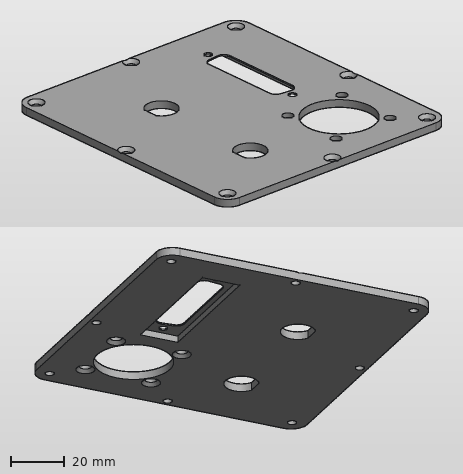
import cadquery as cq
import math

LENGTH = 118.1
WIDTH = 111.1
THICKNESS = 3.2
CORNER_RADIUS = 6.6

SCREW_HOLE = 3.4
SCREW_HEAD = 6.4
HEAD_ANGLE = 90.0
CORNER_INSET = 5.8
EDGE_INSET = 3.0
BACK_SCREW_X = 6.3

LEFT_COLUMN = -18.4
RIGHT_COLUMN = 31.1
UPPER_ROW = 25.7
LOWER_ROW = -18.5

LASER_TOP_LENGTH = 41.6
LASER_HEIGHT = 10.9
LASER_SLANT = 6.0
LASER_CORNER_RADIUS = 3.1
LASER_SCREW_HOLE = 3.3
LASER_SCREW_SPACING = 47.0
LASER_WALL = 0.6
RECESS_LENGTH = 54.3
RECESS_HEIGHT = 15.4

POWER_HOLE = 29.9
POWER_SCREW_HOLE = 4.5
POWER_SCREW_SPACING = 26.9
POWER_SCREW_HEAD = 7.1

SOCKET_HOLE = 13.1
SOCKET_FLAT_OFFSET = 5.7


def plate():
    blank = cq.Workplane("XY").box(LENGTH, WIDTH, THICKNESS, centered=(True, True, False))
    return blank.edges("|Z").fillet(CORNER_RADIUS)


def countersink_fixing_screws(body):
    corner_x = LENGTH / 2 - CORNER_INSET
    corner_y = WIDTH / 2 - CORNER_INSET
    edge_x = LENGTH / 2 - EDGE_INSET
    edge_y = WIDTH / 2 - EDGE_INSET
    places = [(sx * corner_x, sy * corner_y) for sx in (-1, 1) for sy in (-1, 1)]
    places += [(-edge_x, 0), (edge_x, 0), (0, -edge_y), (BACK_SCREW_X, edge_y)]
    top = body.faces(">Z").workplane(origin=(0, 0, THICKNESS))
    return top.pushPoints(places).cskHole(SCREW_HOLE, SCREW_HEAD, HEAD_ANGLE)


def sketch_at(center):
    return cq.Workplane("XY").center(*center)


def laser_cutter():
    center = (LEFT_COLUMN, UPPER_ROW)
    half_top = LASER_TOP_LENGTH / 2
    half_bottom = half_top - LASER_HEIGHT * math.tan(math.radians(LASER_SLANT))
    half_height = LASER_HEIGHT / 2
    outline = [
        (-half_top, half_height),
        (half_top, half_height),
        (half_bottom, -half_height),
        (-half_bottom, -half_height),
    ]
    opening = sketch_at(center).polyline(outline).close().extrude(THICKNESS)
    opening = opening.edges("|Z").fillet(LASER_CORNER_RADIUS)
    screws = sketch_at(center).rarray(LASER_SCREW_SPACING, 1.2, 2, 1)
    screws = screws.circle(LASER_SCREW_HOLE / 2).extrude(THICKNESS)
    recess = sketch_at(center).rect(RECESS_LENGTH, RECESS_HEIGHT).extrude(THICKNESS - LASER_WALL)
    return opening.union(screws).union(recess)


def power_cutter():
    center = (RIGHT_COLUMN, UPPER_ROW)
    opening = sketch_at(center).circle(POWER_HOLE / 2).extrude(THICKNESS)
    hole_radius = POWER_SCREW_HOLE / 2
    head_radius = POWER_SCREW_HEAD / 2
    head_depth = (head_radius - hole_radius) / math.tan(math.radians(HEAD_ANGLE / 2))
    profile = [
        (0, 0),
        (head_radius, 0),
        (hole_radius, head_depth),
        (hole_radius, THICKNESS),
        (0, THICKNESS),
    ]
    screw = cq.Workplane("XZ").polyline(profile).close().revolve(360, (0, 0), (0, 1))
    screws = (
        sketch_at(center)
        .rarray(POWER_SCREW_SPACING, POWER_SCREW_SPACING, 2, 2)
        .eachpoint(lambda place: screw.val().located(place))
    )
    return opening.union(screws)


def socket_cutter(column):
    radius = SOCKET_HOLE / 2
    half_flat = math.sqrt(radius**2 - SOCKET_FLAT_OFFSET**2)
    outline = (
        sketch_at((column, LOWER_ROW))
        .moveTo(-half_flat, -SOCKET_FLAT_OFFSET)
        .threePointArc((0, radius), (half_flat, -SOCKET_FLAT_OFFSET))
        .close()
    )
    return outline.extrude(THICKNESS)


result = countersink_fixing_screws(plate())
result = result.cut(laser_cutter()).cut(power_cutter())
for column in (LEFT_COLUMN, RIGHT_COLUMN):
    result = result.cut(socket_cutter(column))